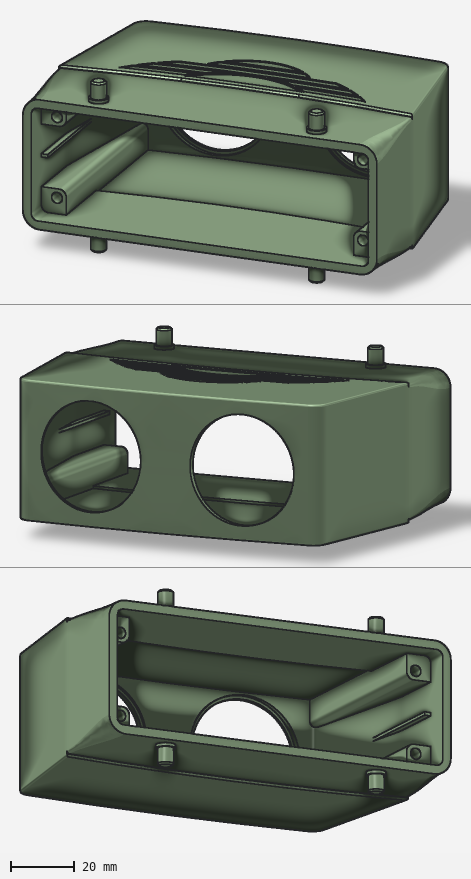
import cadquery as cq
import math

length = 120.5
depth = 81.0
skirt_height = 43.5
shell_height = 45.2
pin_span = 56.9
wall = 2.9

taper_start = 29.9
back_corner_x = 53.0
back_corner_y = 78.8
back_corner_radius = 4.8
taper_blend_radius = 30.1

parting_mid_y = 33.3
parting_end_y = 29.6
shell_edge_radius = 0.7

mouth_corner_radius = 5.8
parting_corner_radius = 1.0
corner_sections = 6

cavity_corner_radius = 2.3
cavity_end_radius = 2.0
cavity_step_offset = 2.3

entry_x = 26.5
entry_radius = 17.8
entry_recess_radius = 18.9
entry_recess_depth = 0.7

post_front_y = 8.4
post_inner_x = 48.9
post_inner_z = 10.5
post_edge_radius = 2.4
screw_x = 52.0
screw_z = 13.5
screw_radius = 1.8
screw_depth = 14.5

rib_height = 2.2
rib_thickness = 1.1

pin_x = 37.1
pin_y = 6.5
pin_radius = 2.5
pin_chamfer = 0.6
collar_radius = 3.1
collar_height = 1.1

relief_depth = 0.4
strip_count = 5
strip_pitch = 4.1
strip_width = 3.3
first_strip_y = 37.0
dome_radius = 21.7
dome_center_y = 36.2
dome_first_strip = 3
hill_radius = 54.7
sun_radius = 28.9
sun_center_y = 15.1
sun_gap = 0.7
sun_base_y = 36.5

half_length = length / 2
cavity_half_x = half_length - wall
cavity_height = skirt_height - 2 * wall
deep_cavity_height = shell_height - 2 * wall
parting_sag = parting_mid_y - parting_end_y


def plan_solid(inset, corner_radius, height):
    """Prism along Z over the plan outline, walls drawn in by `inset`, centred on Z = 0."""
    outline = (
        cq.Workplane("XY")
        .moveTo(-half_length, -inset)
        .lineTo(half_length, -inset)
        .lineTo(half_length, taper_start)
        .lineTo(back_corner_x, back_corner_y)
        .threePointArc((0, depth), (-back_corner_x, back_corner_y))
        .lineTo(-half_length, taper_start)
        .close()
    )
    if inset:
        outline = outline.offset2D(-inset)
    solid = outline.extrude(height / 2, both=True)
    middle_y = depth / 2
    blend = cq.selectors.BoxSelector(
        (-length, taper_start / 2, -height), (length, middle_y, height)
    )
    back = cq.selectors.BoxSelector((-length, middle_y, -height), (length, depth, height))
    solid = solid.edges("|Z").edges(blend).fillet(taper_blend_radius)
    return solid.edges("|Z").edges(back).fillet(corner_radius)


def behind_arc(mid_y):
    """Tall prism covering everything behind an arc that runs parallel to the parting step."""
    return (
        cq.Workplane("XY")
        .moveTo(-half_length, mid_y - parting_sag)
        .threePointArc((0, mid_y), (half_length, mid_y - parting_sag))
        .lineTo(half_length, 2 * depth)
        .lineTo(-half_length, 2 * depth)
        .close()
        .extrude(length, both=True)
    )


def rear_shell():
    """Thicker rear section with rounded rims, ending at the curved parting step."""
    shell = plan_solid(0, back_corner_radius, shell_height).intersect(behind_arc(parting_mid_y))
    return shell.faces("<Z or >Z").edges().fillet(shell_edge_radius)


def skirt():
    """Front section; its corner radius eases from the mouth back to the parting step."""
    plane = cq.Plane((0, 0, 0), (1, 0, 0), (0, -1, 0))
    radius_mean = (mouth_corner_radius + parting_corner_radius) / 2
    radius_swing = (mouth_corner_radius - parting_corner_radius) / 2
    sketches = []
    for i in range(corner_sections):
        part_way = i / (corner_sections - 1)
        radius = radius_mean + radius_swing * math.cos(math.pi * part_way)
        place = cq.Location(cq.Vector(0, 0, -part_way * parting_end_y))
        sketch = cq.Sketch().rect(length, skirt_height).vertices().fillet(radius)
        sketches.append(sketch.moved(place))
    front = cq.Workplane(plane).placeSketch(*sketches).loft()
    overlap_length = parting_sag + wall
    overlap = (
        cq.Workplane("XY", origin=(0, parting_end_y + overlap_length / 2, 0))
        .box(length, overlap_length, skirt_height)
        .edges("|Y")
        .fillet(parting_corner_radius)
    )
    plan = plan_solid(0, back_corner_radius, skirt_height)
    return front.union(overlap).intersect(plan)


def cavity():
    """Shallow round-cornered mouth opening into a slightly deeper rear chamber."""
    mouth = (
        cq.Workplane("XZ")
        .rect(2 * cavity_half_x, cavity_height)
        .extrude(-depth)
        .edges("|Y")
        .fillet(cavity_corner_radius)
    )
    chamber = plan_solid(wall, cavity_end_radius, deep_cavity_height)
    deep = chamber.intersect(behind_arc(parting_mid_y + cavity_step_offset))
    return mouth.intersect(chamber).union(deep)


def screw_post():
    """Post along Y in the upper +X corner of the cavity, with a blind screw hole."""
    post_width = half_length - post_inner_x
    post_height = shell_height / 2 - post_inner_z
    post = (
        cq.Workplane("XZ", origin=(0, post_front_y, 0))
        .center(post_inner_x + post_width / 2, post_inner_z + post_height / 2)
        .rect(post_width, post_height)
        .extrude(-depth)
        .edges("|Y and <X and <Z")
        .fillet(post_edge_radius)
    )
    screw_hole = (
        cq.Workplane("XZ", origin=(0, post_front_y, 0))
        .center(screw_x, screw_z)
        .circle(screw_radius)
        .extrude(-screw_depth)
    )
    return post.cut(screw_hole)


def end_rib():
    """Slim rib along Y on the +X end wall, at mid height."""
    return (
        cq.Workplane("XY")
        .box(rib_height + wall / 2, depth, rib_thickness, centered=(False, False, True))
        .translate((cavity_half_x - rib_height, post_front_y, 0))
    )


def entry_holes():
    """Two bores through the back wall, each with a shallow recess on the inside."""
    inner_face_y = depth - wall
    places = [(-entry_x, 0), (entry_x, 0)]
    bores = cq.Workplane("XZ", origin=(0, depth / 2, 0)).pushPoints(places)
    through = bores.circle(entry_radius).extrude(-depth)
    recess_end_y = inner_face_y + entry_recess_depth
    recess = bores.circle(entry_recess_radius).extrude(depth / 2 - recess_end_y)
    return through.union(recess)


def locking_pin():
    """Pin with a collar, standing on the top face of the skirt."""
    base_z = skirt_height / 2 - wall / 2
    collar_top = skirt_height / 2 + collar_height
    base = cq.Workplane("XY", origin=(pin_x, pin_y, base_z))
    collar = base.circle(collar_radius).extrude(collar_top - base_z)
    pin = base.circle(pin_radius).extrude(pin_span / 2 - base_z)
    return collar.union(pin.faces(">Z").chamfer(pin_chamfer))


def disc(radius, center_y):
    """Tall cylinder along Z, centred on X = 0."""
    return cq.Workplane("XY").center(0, center_y).circle(radius).extrude(length, both=True)


def sunrise_relief():
    """Strips parallel to the parting step, around a half-risen sun."""
    relief = disc(sun_radius, sun_center_y).intersect(behind_arc(sun_base_y))
    halo = disc(sun_radius + sun_gap, sun_center_y)
    for i in range(strip_count):
        near_y = first_strip_y + i * strip_pitch
        strip = behind_arc(near_y)
        if i < strip_count - 1:
            strip = strip.cut(behind_arc(near_y + strip_width))
        if i < dome_first_strip:
            strip = strip.intersect(disc(hill_radius, 0)).cut(halo)
        else:
            strip = strip.intersect(disc(dome_radius, dome_center_y))
        relief = relief.union(strip)
    top_layer = (
        cq.Workplane("XY", origin=(0, 0, shell_height / 2 - relief_depth))
        .rect(2 * length, 2 * length)
        .extrude(2 * relief_depth)
    )
    return relief.intersect(top_layer)


def mirrored(body, plane):
    """The body together with its mirror image."""
    return body.union(body.mirror(plane))


outer = rear_shell().union(skirt())
posts = mirrored(mirrored(screw_post(), "XY"), "YZ")
fittings = posts.union(mirrored(end_rib(), "YZ"))
hollow = cavity().cut(fittings)
pins = mirrored(mirrored(locking_pin(), "XY"), "YZ")

result = outer.cut(hollow).cut(entry_holes()).union(pins).cut(sunrise_relief())